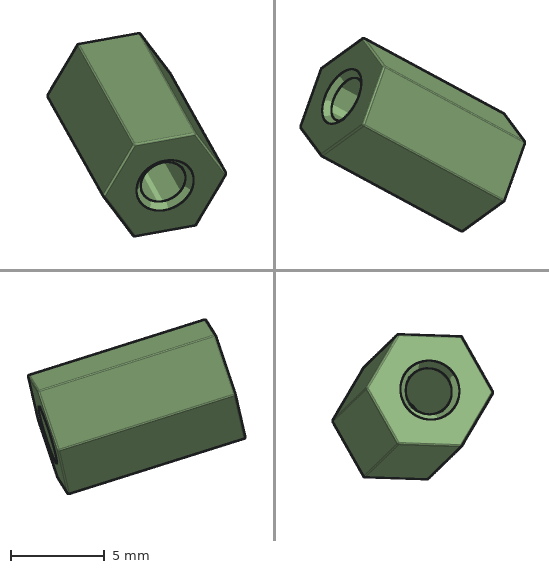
import cadquery as cq
import math

length = 10
across_flats = 6
edge_radius = 0.1
bore_diameter = 2.5
countersink_diameter = 3.2
countersink_depth = (countersink_diameter - bore_diameter) / 2

across_corners = across_flats / math.cos(math.pi / 6)


def hexagonal_body():
    """Hexagonal bar centred on the origin with every outer edge rounded."""
    bar = cq.Workplane("YZ").polygon(6, across_corners).extrude(length / 2, both=True)
    return bar.edges().fillet(edge_radius)


def countersunk_bore():
    """Through bore with a conical flare at each end, as one revolved cutter."""
    end = length / 2
    bore_end = end - countersink_depth
    bore_radius = bore_diameter / 2
    mouth_radius = countersink_diameter / 2
    profile = [
        (-end, 0),
        (-end, mouth_radius),
        (-bore_end, bore_radius),
        (bore_end, bore_radius),
        (end, mouth_radius),
        (end, 0),
    ]
    return cq.Workplane("XY").polyline(profile).close().revolve(360, (0, 0, 0), (1, 0, 0))


result = hexagonal_body().cut(countersunk_bore())